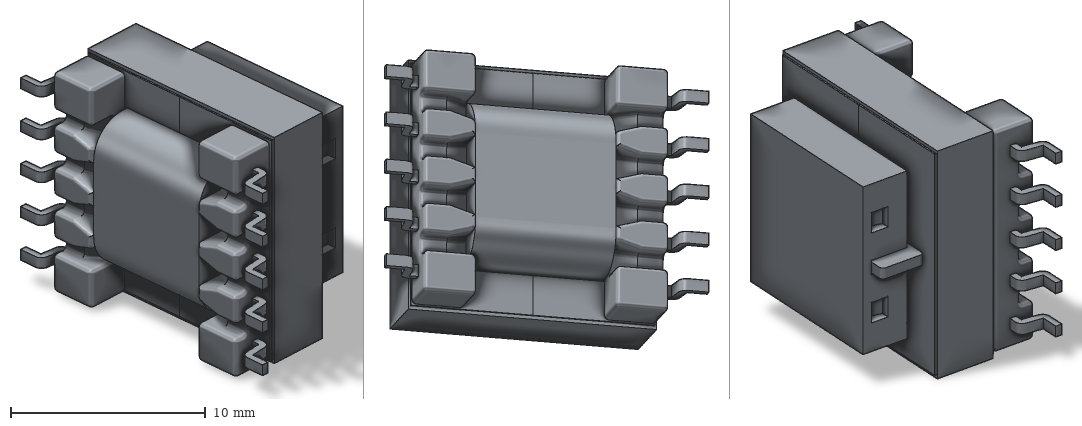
import cadquery as cq

core_length = 13.04
core_height = 13.04
core_depth = 3.78
centre_leg_height = 3.78

tape_length = 13.25
tape_height = 13.42
tape_depth = 3.58

flange_height = 8.77
flange_thickness = 0.52
flange_span = 8.53
flange_back = 4.66
inner_span = flange_span - 2 * flange_thickness
bore_depth = 3.9
bore_height = 3.84
tube_wall = 0.25
tube_depth = bore_depth + 2 * tube_wall
tube_height = bore_height + 2 * tube_wall

rail_back = -1.93
rail_front = -4.52
rail_outer = core_length / 2
rail_inner = inner_span / 2
rail_edge_radius = 0.25

groove_width = 0.93
groove_floor = -3.65
groove_corner_radius = 0.24
groove_flare_start = 5.09
groove_flare = 0.4
groove_floor_drop = 1.07

pin_pitch = 2.55
pins_per_side = 5
pin_width = 0.64
pin_thickness = 0.4
pin_embedding = 0.35
pin_root = rail_outer - pin_embedding
pin_tip = 8.6
shoulder_front = -3.34
foot_front = -4.73
leg_inner_top = 6.98
leg_lean = 0.15
pin_bend_radius = 0.45

winding_size = 8.74
winding_corner_radius = 2.1

cap_wall = 0.55
cap_front = 2.39
cap_back = flange_back + cap_wall
cap_length = flange_span + 2 * cap_wall
cap_height = flange_height + 2 * cap_wall
window_depth = 1.05
window_height = 1.2
window_offset = 2.65
slot_width = 0.86

hook_length = 0.93
hook_height = 0.98
hook_rise = 0.25
tab_tip = 5.71
tab_front = 1.96
tab_corner_radius = 0.25


def block(x_range, y_range, z_range):
    """Box between two limits on each axis."""
    (x0, x1), (y0, y1), (z0, z1) = x_range, y_range, z_range
    return cq.Workplane("XY").box(x1 - x0, y1 - y0, z1 - z0, centered=False).translate((x0, y0, z0))


def centred_block(length, depth, height):
    return cq.Workplane("XY").box(length, depth, height)


def mirrored(body):
    """The same shape on the +X side."""
    return body.mirror("YZ")


def make_core_half():
    """E-shaped half on the -X side: back plate, two outer legs and the centre leg."""
    half = block(
        (-core_length / 2, 0), (-core_depth / 2, core_depth / 2), (-core_height / 2, core_height / 2)
    )
    window = centred_block(flange_span, core_depth, flange_height)
    centre_leg = centred_block(flange_span, core_depth, centre_leg_height)
    return half.cut(window.cut(centre_leg))


def make_tape():
    band = centred_block(tape_length, tape_depth, tape_height)
    return band.cut(centred_block(core_length, tape_depth, core_height))


def make_winding():
    coil = centred_block(inner_span, winding_size, winding_size).edges("|X").fillet(winding_corner_radius)
    return coil.cut(centred_block(inner_span, tube_depth, tube_height))


def groove_section(x, floor, z_low, z_high):
    """U-shaped wire across a rail at the given X, open towards -Y beyond the rail front."""
    r = groove_corner_radius
    mouth = rail_front - r
    return (
        cq.Workplane("YZ", origin=(x, 0, 0))
        .moveTo(mouth, z_low)
        .lineTo(floor - r, z_low)
        .radiusArc((floor, z_low + r), -r)
        .lineTo(floor, z_high - r)
        .radiusArc((floor - r, z_high), -r)
        .lineTo(mouth, z_high)
        .close()
        .wire()
        .val()
    )


def make_groove(z_centre, flare_low, flare_high):
    """Straight groove from the outer face, then a deeper and wider throat towards the winding."""
    z_low = z_centre - groove_width / 2
    z_high = z_centre + groove_width / 2
    outer = groove_section(-rail_outer, groove_floor, z_low, z_high)
    knee = groove_section(-groove_flare_start, groove_floor, z_low, z_high)
    throat = groove_section(
        -rail_inner, groove_floor + groove_floor_drop, z_low - flare_low, z_high + flare_high
    )
    straight = cq.Solid.makeLoft([outer, knee], True)
    flared = cq.Solid.makeLoft([knee, throat], True)
    return cq.Workplane(straight).union(cq.Workplane(flared))


def make_rail():
    """Rail on the -X side with four wire grooves; the end grooves do not widen towards the ends."""
    rail = block(
        (-rail_outer, -rail_inner), (rail_front, rail_back), (-core_height / 2, core_height / 2)
    )
    groove_count = pins_per_side - 1
    for i in range(groove_count):
        z_centre = (i - (groove_count - 1) / 2) * pin_pitch
        flare_low = 0 if i == 0 else groove_flare
        flare_high = 0 if i == groove_count - 1 else groove_flare
        rail = rail.cut(make_groove(z_centre, flare_low, flare_high))
    margin = 0.02
    middle_throats = cq.selectors.BoxSelector(
        (-rail_inner - margin, rail_front + margin, -pin_pitch),
        (-rail_inner + margin, rail_back - margin, pin_pitch),
    )
    rounded_faces = rail.faces("<X or >X or <Y or <Z or >Z")
    return rounded_faces.edges(cq.selectors.InverseSelector(middle_throats)).fillet(rail_edge_radius)


def make_pin(z_centre):
    """Gull-wing pin on the -X side: shoulder, leaning leg and foot."""
    shoulder_back = shoulder_front + pin_thickness
    foot_back = foot_front + pin_thickness
    leg_outer_top = leg_inner_top + pin_thickness
    profile = [
        (-pin_root, shoulder_back),
        (-leg_outer_top, shoulder_back),
        (-leg_outer_top - leg_lean, foot_back),
        (-pin_tip, foot_back),
        (-pin_tip, foot_front),
        (-leg_inner_top - leg_lean, foot_front),
        (-leg_inner_top, shoulder_front),
        (-pin_root, shoulder_front),
    ]
    pin = (
        cq.Workplane("XY", origin=(0, 0, z_centre - pin_width / 2))
        .polyline(profile)
        .close()
        .extrude(pin_width)
    )
    shoulder_bend = profile[1]
    foot_bend = profile[5]
    for x, y in (shoulder_bend, foot_bend):
        corner = cq.selectors.NearestToPointSelector((x, y, z_centre))
        pin = pin.edges("|Z").edges(corner).fillet(pin_bend_radius)
    return pin


def make_hook(z_centre):
    """Wedge on the flange that snaps into a cap window; it rises towards -Y."""
    face = -flange_span / 2
    profile = [
        (face, flange_back),
        (face - hook_rise, flange_back - hook_length),
        (face, flange_back - hook_length),
    ]
    bottom = z_centre - hook_height / 2
    return cq.Workplane("XY", origin=(0, 0, bottom)).polyline(profile).close().extrude(hook_height)


def make_bobbin_side():
    """Flange, hooks, rail and pins on the -X side."""
    side = block(
        (-flange_span / 2, -inner_span / 2),
        (rail_back - rail_edge_radius, flange_back),
        (-flange_height / 2, flange_height / 2),
    )
    side = side.union(make_rail())
    for z_centre in (-window_offset, window_offset):
        side = side.union(make_hook(z_centre))
    for i in range(pins_per_side):
        side = side.union(make_pin((i - (pins_per_side - 1) / 2) * pin_pitch))
    return side


def make_tab():
    """Orientation tab on the -X flange only."""
    tab = block(
        (-tab_tip, -flange_span / 2), (tab_front, flange_back), (-pin_width / 2, pin_width / 2)
    )
    return tab.edges("|Z and <X").fillet(tab_corner_radius)


def make_bobbin():
    side = make_bobbin_side()
    tube = centred_block(inner_span, tube_depth, tube_height)
    bore = centred_block(flange_span, bore_depth, bore_height)
    return tube.union(side).union(mirrored(side)).union(make_tab()).cut(bore)


def make_cap():
    cap = block(
        (-cap_length / 2, cap_length / 2), (cap_front, cap_back), (-cap_height / 2, cap_height / 2)
    )
    cavity = block(
        (-flange_span / 2, flange_span / 2),
        (cap_front, flange_back),
        (-flange_height / 2, flange_height / 2),
    )
    cap = cap.cut(cavity)
    for z_centre in (-window_offset, window_offset):
        windows = block(
            (-cap_length / 2, cap_length / 2),
            (flange_back - window_depth, flange_back),
            (z_centre - window_height / 2, z_centre + window_height / 2),
        )
        cap = cap.cut(windows)
    tab_slot = block((-cap_length / 2, 0), (cap_front, flange_back), (-slot_width / 2, slot_width / 2))
    return cap.cut(tab_slot)


core_left = make_core_half()
core_right = mirrored(core_left)
tape = make_tape()
winding = make_winding()
bobbin = make_bobbin()
cap = make_cap()

result = cq.Compound.makeCompound(
    [core_left.val(), core_right.val(), tape.val(), winding.val(), bobbin.val(), cap.val()]
)